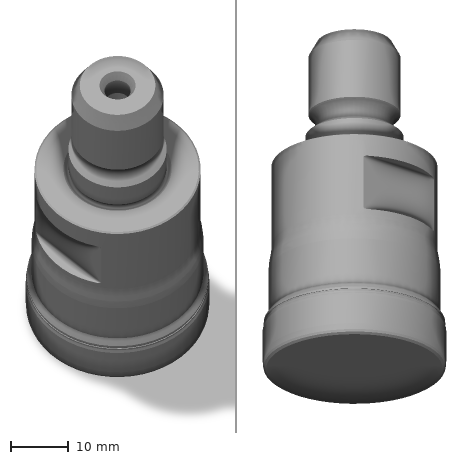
import cadquery as cq
import math

TOTAL_HEIGHT = 61.1
BODY_TOP = 38.2
TAPER_TOP = 22.9
TAPER_BOTTOM = 18.2
SHOULDER_TOP = 9.95
COLLAR_BOTTOM = 38.85
COLLAR_SHOULDER = 43.55
NECK_BOTTOM = 44.2
PIN_BOTTOM = 47.6

FOOT_RADIUS = 31.8 / 2
SLEEVE_RADIUS = 29.75 / 2
BODY_RADIUS = 28.7 / 2
COLLAR_RADIUS = 17.0 / 2
PIN_RADIUS = 15.95 / 2

FOOT_BOTTOM_RADIUS = 15.3
FOOT_CORNER_RADIUS = 15.75
FOOT_CORNER_HEIGHT = 0.3
FOOT_DRAFT_BOTTOM = 0.75
FOOT_DRAFT_TOP = 1.85
FOOT_DRAFT = 0.05
FOOT_BAND_TOP = 7.15
RIM_RADIUS = 15.7
RIM_BOTTOM = 7.7
RIM_TOP = 8.8
RING_GROOVE_BOTTOM = 8.05
RING_GROOVE_TOP = 8.45
RING_GROOVE_DEPTH = 0.1

TAPER_BLEND_HEIGHT = 1.7
TAPER_RISE = SLEEVE_RADIUS - BODY_RADIUS
TAPER_SLOPE = TAPER_RISE / (TAPER_TOP - TAPER_BOTTOM - TAPER_BLEND_HEIGHT)
TAPER_BLEND_RISE = TAPER_SLOPE * TAPER_BLEND_HEIGHT / 2

BODY_CHAMFER_WIDTH = 0.3
BODY_CHAMFER_HEIGHT = 0.2
UNDERCUT_RADIUS = 9.35
UNDERCUT_OUTER_RADIUS = 8.85
UNDERCUT_OUTER_HEIGHT = BODY_TOP - 0.35
UNDERCUT_MIDDLE_RADIUS = 8.3
UNDERCUT_MIDDLE_HEIGHT = BODY_TOP - 0.4
UNDERCUT_INNER_RADIUS = 8.05
UNDERCUT_INNER_HEIGHT = BODY_TOP - 0.05

NECK_RADIUS = 6.8
NECK_LOWER_RADIUS = 7.7
NECK_UPPER_RADIUS = 7.75
PIN_EDGE = 0.2
PIN_CHAMFER_HEIGHT = 2.6
PIN_TIP_RADIUS = 6.55

FLAT_DISTANCE = 12.0
FLAT_BOTTOM = 24.0
FLAT_TOP = 34.05
FLAT_FILLET = 0.35

HOLE_RADIUS = 4.5 / 2
HOLE_DEPTH = 4.9
COUNTERSINK_RADIUS = 3.1
COUNTERSINK_DEPTH = 1.45
DRILL_POINT_ANGLE = 118.0


def turned_body():
    """Revolve the stepped outer profile around Z."""
    blend_middle_rise = TAPER_BLEND_RISE / 4
    half_blend = TAPER_BLEND_HEIGHT / 2
    profile = (
        cq.Workplane("XZ")
        .lineTo(FOOT_BOTTOM_RADIUS, 0)
        .lineTo(FOOT_CORNER_RADIUS - FOOT_DRAFT, FOOT_CORNER_HEIGHT)
        .lineTo(FOOT_RADIUS - FOOT_DRAFT, FOOT_DRAFT_BOTTOM)
        .lineTo(FOOT_RADIUS, FOOT_DRAFT_TOP)
        .lineTo(FOOT_RADIUS, FOOT_BAND_TOP)
        .lineTo(RIM_RADIUS, RIM_BOTTOM)
        .lineTo(RIM_RADIUS, RING_GROOVE_BOTTOM)
        .lineTo(RIM_RADIUS - RING_GROOVE_DEPTH, RING_GROOVE_BOTTOM)
        .lineTo(RIM_RADIUS - RING_GROOVE_DEPTH, RING_GROOVE_TOP)
        .lineTo(RIM_RADIUS, RING_GROOVE_TOP)
        .lineTo(RIM_RADIUS, RIM_TOP)
        .lineTo(SLEEVE_RADIUS, SHOULDER_TOP)
        .lineTo(SLEEVE_RADIUS, TAPER_BOTTOM)
        .threePointArc(
            (SLEEVE_RADIUS - blend_middle_rise, TAPER_BOTTOM + half_blend),
            (SLEEVE_RADIUS - TAPER_BLEND_RISE, TAPER_BOTTOM + TAPER_BLEND_HEIGHT),
        )
        .lineTo(BODY_RADIUS + TAPER_BLEND_RISE, TAPER_TOP - TAPER_BLEND_HEIGHT)
        .threePointArc(
            (BODY_RADIUS + blend_middle_rise, TAPER_TOP - half_blend),
            (BODY_RADIUS, TAPER_TOP),
        )
        .lineTo(BODY_RADIUS, BODY_TOP - BODY_CHAMFER_HEIGHT)
        .lineTo(BODY_RADIUS - BODY_CHAMFER_WIDTH, BODY_TOP)
        .lineTo(UNDERCUT_RADIUS, BODY_TOP)
        .lineTo(UNDERCUT_OUTER_RADIUS, UNDERCUT_OUTER_HEIGHT)
        .threePointArc(
            (UNDERCUT_MIDDLE_RADIUS, UNDERCUT_MIDDLE_HEIGHT),
            (UNDERCUT_INNER_RADIUS, UNDERCUT_INNER_HEIGHT),
        )
        .lineTo(COLLAR_RADIUS, COLLAR_BOTTOM)
        .lineTo(COLLAR_RADIUS, COLLAR_SHOULDER)
        .lineTo(NECK_LOWER_RADIUS, NECK_BOTTOM)
        .threePointArc(
            (NECK_RADIUS, (NECK_BOTTOM + PIN_BOTTOM) / 2),
            (NECK_UPPER_RADIUS, PIN_BOTTOM),
        )
        .lineTo(PIN_RADIUS, PIN_BOTTOM + PIN_EDGE)
        .lineTo(PIN_RADIUS, TOTAL_HEIGHT - PIN_CHAMFER_HEIGHT)
        .lineTo(PIN_TIP_RADIUS, TOTAL_HEIGHT)
        .lineTo(0, TOTAL_HEIGHT)
        .close()
    )
    return profile.revolve(360, (0, 0, 0), (0, 1, 0))


def flat_cutter(side):
    """Block that cuts one wrench flat; side is -1 or +1 along Y."""
    depth = FOOT_RADIUS - FLAT_DISTANCE
    inner_edges = "<Y" if side > 0 else ">Y"
    return (
        cq.Workplane("XY")
        .box(2 * FOOT_RADIUS, depth, FLAT_TOP - FLAT_BOTTOM)
        .faces(inner_edges)
        .edges("|X")
        .fillet(FLAT_FILLET)
        .translate((0, side * (FLAT_DISTANCE + depth / 2), (FLAT_TOP + FLAT_BOTTOM) / 2))
    )


def centre_hole():
    """Countersunk blind hole with a conical drill point."""
    point_depth = HOLE_RADIUS / math.tan(math.radians(DRILL_POINT_ANGLE / 2))
    return (
        cq.Workplane("XZ", origin=(0, 0, TOTAL_HEIGHT))
        .lineTo(COUNTERSINK_RADIUS, 0)
        .lineTo(HOLE_RADIUS, -COUNTERSINK_DEPTH)
        .lineTo(HOLE_RADIUS, -HOLE_DEPTH)
        .lineTo(0, -HOLE_DEPTH - point_depth)
        .close()
        .revolve(360, (0, 0, 0), (0, 1, 0))
    )


result = turned_body().cut(centre_hole())
for flat_side in (-1, 1):
    result = result.cut(flat_cutter(flat_side))